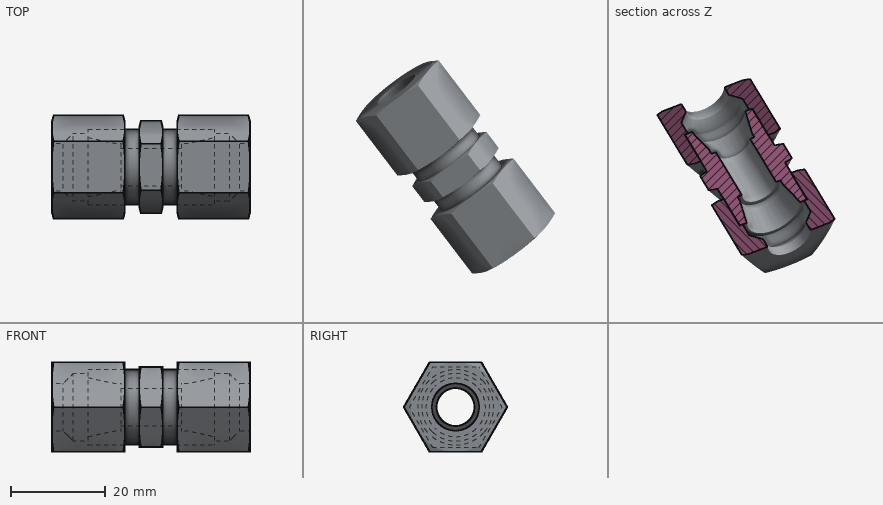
import cadquery as cq
import math


total_length = 42.0
nut_length = 15.5
nut_across_flats = 19.0
collar_across_flats = 17.0
collar_width = 5.0
body_diameter = 16.0
tube_diameter = 10.0
through_diameter = 8.0
nut_bore_diameter = 14.35
nut_hole_depth = 2.3
nut_cone_half_angle = 45.0
body_end_depth = 7.6
socket_mouth_diameter = 12.5
socket_cone_half_angle = 12.0
socket_depth = 7.0
chamfer_angle = 15.0

body_length = total_length - 2 * body_end_depth
tube_radius = tube_diameter / 2
nut_bore_radius = nut_bore_diameter / 2
socket_mouth_radius = socket_mouth_diameter / 2
nut_cone_depth = (nut_bore_radius - tube_radius) / math.tan(math.radians(nut_cone_half_angle))
socket_cone_depth = (socket_mouth_radius - tube_radius) / math.tan(math.radians(socket_cone_half_angle))


def cylinder(start_x, length, diameter):
    """Cylinder along +X from start_x."""
    return cq.Workplane("YZ", origin=(start_x, 0, 0)).circle(diameter / 2).extrude(length)


def turned(profile):
    """Solid of revolution about the X axis; the (x, radius) profile is closed along the axis."""
    first_x = profile[0][0]
    last_x = profile[-1][0]
    outline = [(first_x, 0), *profile, (last_x, 0)]
    return cq.Workplane("XY").polyline(outline).close().revolve(360, (0, 0, 0), (1, 0, 0))


def chamfered_hexagon(start_x, length, across_flats):
    """Hexagonal prism along +X, flats up and down, with its corners turned off conically at both ends."""
    across_corners = across_flats / math.cos(math.radians(30))
    flat_radius = across_flats / 2
    corner_radius = across_corners / 2
    corner_drop = (corner_radius - flat_radius) * math.tan(math.radians(chamfer_angle))
    end_x = start_x + length

    prism = cq.Workplane("YZ", origin=(start_x, 0, 0)).polygon(6, across_corners).extrude(length)
    envelope = turned([
        (start_x, flat_radius),
        (start_x + corner_drop, corner_radius),
        (end_x - corner_drop, corner_radius),
        (end_x, flat_radius),
    ])
    return prism.intersect(envelope)


def tube_socket():
    """Cutter for the tube socket with its flared mouth at the -X end of the body."""
    mouth_x = -body_length / 2
    return turned([
        (mouth_x, socket_mouth_radius),
        (mouth_x + socket_cone_depth, tube_radius),
        (mouth_x + socket_depth, tube_radius),
    ])


def make_body():
    """Round body with a hex collar in the middle, bored through, with a tube socket in each end."""
    barrel = cylinder(-body_length / 2, body_length, body_diameter)
    collar = chamfered_hexagon(-collar_width / 2, collar_width, collar_across_flats)
    through_bore = cylinder(-body_length / 2, body_length, through_diameter)
    socket = tube_socket()
    return barrel.union(collar).cut(through_bore).cut(socket).cut(socket.mirror("YZ"))


def nut_cavity():
    """Cutter for the -X nut: tube hole, cone, free bore, then the seat that fits over the body."""
    outer_x = -total_length / 2
    inner_x = outer_x + nut_length
    cone_x = outer_x + nut_hole_depth
    seat_x = outer_x + body_end_depth
    return turned([
        (outer_x, tube_radius),
        (cone_x, tube_radius),
        (cone_x + nut_cone_depth, nut_bore_radius),
        (seat_x, nut_bore_radius),
        (seat_x, body_diameter / 2),
        (inner_x, body_diameter / 2),
    ])


def make_nut(side):
    """Hex nut on the -X (side = -1) or +X (side = 1) end, seated over the end of the body."""
    hexagon = chamfered_hexagon(-total_length / 2, nut_length, nut_across_flats)
    nut = hexagon.cut(nut_cavity())
    return nut if side < 0 else nut.mirror("YZ")


body = make_body()
nuts = [make_nut(side) for side in (-1, 1)]

result = cq.Compound.makeCompound([body.val(), *[nut.val() for nut in nuts]])